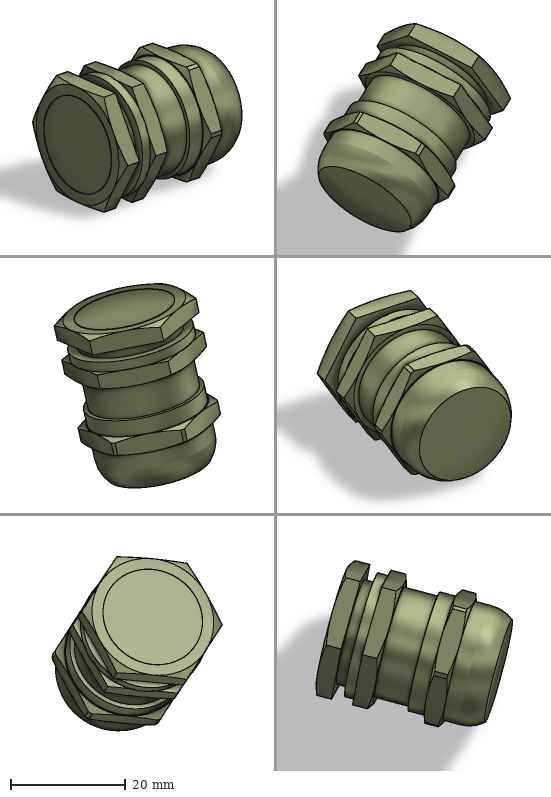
import cadquery as cq
import math

LENGTH = 30.13
HEX_FLATS = 22.0
HEX_CORNERS = HEX_FLATS / math.cos(math.radians(30))
CAP_HEX_DIAMETER = 24.95
CHAMFER_ANGLE = 20.0

LOCKNUT_END = 3.28
THREAD_END = 5.27
COLLAR_END = 7.1
BODY_HEX_END = 10.4
BARREL_END = 16.65
CAP_HEX_START = 19.65
CAP_HEX_END = 23.1
DOME_START = 26.12

THREAD_DIAMETER = 19.0
COLLAR_DIAMETER = 22.5
BARREL_DIAMETER = 20.0
CAP_DIAMETER = 21.6
DOME_END_DIAMETER = 18.62
BORE_DIAMETER = 18.0
RECESS_DEPTH = 0.1


def disc(diameter, start, end):
    """Cylinder on the Y axis between two stations."""
    plane = cq.Workplane("XZ", origin=(0, start, 0))
    return plane.circle(diameter / 2).extrude(start - end)


def hexagon(start, end, corner_diameter, chamfer_start, chamfer_end):
    """Hexagon with corners on X, trimmed by a turned blank with conical ends."""
    plane = cq.Workplane("XZ", origin=(0, start, 0))
    prism = plane.polygon(6, HEX_CORNERS).extrude(start - end)
    face_radius = HEX_FLATS / 2
    corner_radius = corner_diameter / 2
    drop = (corner_radius - face_radius) * math.tan(math.radians(CHAMFER_ANGLE))
    outline = [(0, start)]
    if chamfer_start:
        outline += [(face_radius, start), (corner_radius, start + drop)]
    else:
        outline += [(corner_radius, start)]
    if chamfer_end:
        outline += [(corner_radius, end - drop), (face_radius, end)]
    else:
        outline += [(corner_radius, end)]
    outline += [(0, end)]
    blank = cq.Workplane("XY").polyline(outline).close().revolve(360, (0, 0), (0, 1))
    return prism.intersect(blank)


def dome():
    """Rounded cap end, its arc tangent to the cap cylinder."""
    cap_radius = CAP_DIAMETER / 2
    rise = LENGTH - DOME_START
    inset = cap_radius - DOME_END_DIAMETER / 2
    arc_radius = (rise**2 + inset**2) / (2 * inset)
    half_angle = math.asin(rise / arc_radius) / 2
    middle = (
        cap_radius - arc_radius * (1 - math.cos(half_angle)),
        DOME_START + arc_radius * math.sin(half_angle),
    )
    profile = (
        cq.Workplane("XY")
        .moveTo(0, DOME_START)
        .lineTo(cap_radius, DOME_START)
        .threePointArc(middle, (DOME_END_DIAMETER / 2, LENGTH))
        .lineTo(0, LENGTH)
        .close()
    )
    return profile.revolve(360, (0, 0), (0, 1))


result = hexagon(0, LOCKNUT_END, HEX_CORNERS, True, False)
result = result.union(disc(THREAD_DIAMETER, LOCKNUT_END, THREAD_END))
result = result.union(disc(COLLAR_DIAMETER, THREAD_END, COLLAR_END))

result = result.union(hexagon(COLLAR_END, BODY_HEX_END, HEX_CORNERS, False, True))
result = result.union(disc(BARREL_DIAMETER, BODY_HEX_END, BARREL_END))

result = result.union(disc(CAP_DIAMETER, BARREL_END, DOME_START))
result = result.union(hexagon(CAP_HEX_START, CAP_HEX_END, CAP_HEX_DIAMETER, True, True))
result = result.union(dome())

result = result.cut(disc(BORE_DIAMETER, 0, RECESS_DEPTH))